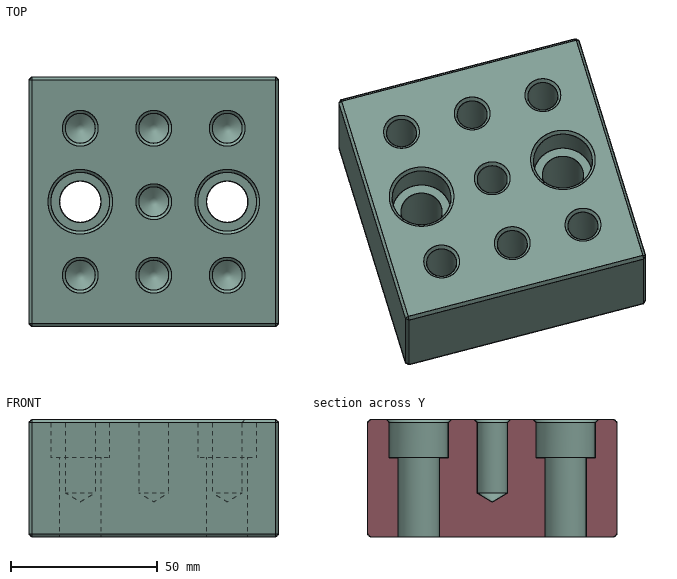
import cadquery as cq
import math

side = 85.0
height = 40.0
edge_chamfer = 1.0

pitch = 25.0
rim_bevel = 1.0

blind_diameter = 10.2
blind_depth = 25.0
drill_tip_angle = 118.0

through_diameter = 14.0
counterbore_diameter = 20.0
counterbore_depth = 13.0

mounting_points = [(-pitch, 0), (pitch, 0)]
blind_points = [
    (x, y)
    for x in (-pitch, 0, pitch)
    for y in (-pitch, 0, pitch)
    if (x, y) not in mounting_points
]


def make_block():
    """Square block standing on Z = 0, with every edge chamfered."""
    block = cq.Workplane("XY").box(side, side, height, centered=(True, True, False))
    return block.edges().chamfer(edge_chamfer)


def cut_mouth_chamfers(body, points, diameter):
    """Bevel the top rims of holes at 45 degrees."""
    radius = diameter / 2
    cone_base = cq.Vector(0, 0, height - rim_bevel)
    cone = cq.Solid.makeCone(radius, radius + rim_bevel, rim_bevel, pnt=cone_base)
    for x, y in points:
        body = body.cut(cq.Workplane(cone.translate(cq.Vector(x, y, 0))))
    return body


def cut_blind_holes(body):
    """Drilled blind holes in the top face; the depth is that of the cylindrical part."""
    floor = height - blind_depth
    radius = blind_diameter / 2
    tip_depth = radius / math.tan(math.radians(drill_tip_angle / 2))
    drill = (
        cq.Workplane("XZ")
        .moveTo(0, floor - tip_depth)
        .lineTo(radius, floor)
        .lineTo(radius, height)
        .lineTo(0, height)
        .close()
        .revolve(360, (0, 0), (0, 1))
    )
    for x, y in blind_points:
        body = body.cut(drill.translate((x, y, 0)))
    return cut_mouth_chamfers(body, blind_points, blind_diameter)


def cut_mounting_holes(body):
    """Through holes, counterbored from the top face."""
    body = (
        body.faces(">Z")
        .workplane(origin=(0, 0, height))
        .pushPoints(mounting_points)
        .cboreHole(through_diameter, counterbore_diameter, counterbore_depth)
    )
    return cut_mouth_chamfers(body, mounting_points, counterbore_diameter)


result = cut_mounting_holes(cut_blind_holes(make_block()))